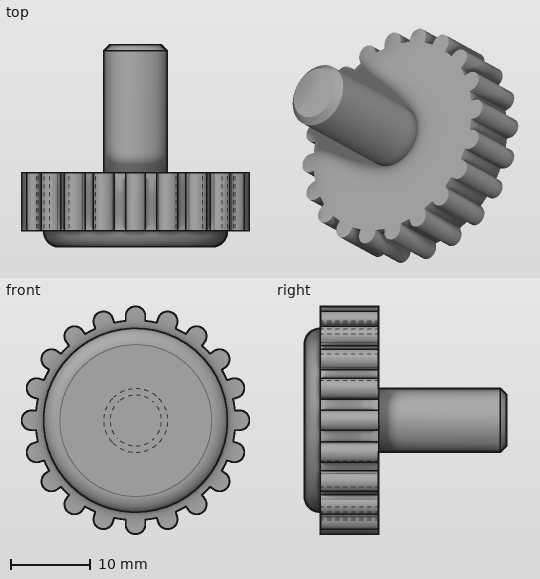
import cadquery as cq


tooth_count = 20
root_diameter = 25.0
tooth_width = 2.5
outer_diameter = 28.5
tip_center_radius = (outer_diameter - tooth_width) / 2
tooth_base_radius = root_diameter / 2 - tooth_width / 2
grip_thickness = 7.3

cap_diameter = 23.0
cap_height = 2.0

stud_diameter = 8.0
stud_length = 16.0
stud_chamfer = 0.8

grip_back_y = 0.0
grip_front_y = grip_back_y - grip_thickness
cap_front_y = grip_front_y - cap_height


def cylinder_along_y(diameter, start_y, length):
    """Cylinder on the Y axis running from start_y toward +Y."""
    axis = cq.Vector(0, 1, 0)
    start = cq.Vector(0, start_y, 0)
    return cq.Workplane(cq.Solid.makeCylinder(diameter / 2, length, start, axis))


def make_grip():
    """Disc with straight-sided, round-tipped teeth; the first tooth lies on the X axis."""
    grip = cylinder_along_y(root_diameter, grip_front_y, grip_thickness)
    tooth_half_width = tooth_width / 2
    tooth = (
        cq.Workplane("XZ", origin=(0, grip_back_y, 0))
        .moveTo(tooth_base_radius, -tooth_half_width)
        .lineTo(tip_center_radius, -tooth_half_width)
        .threePointArc((outer_diameter / 2, 0), (tip_center_radius, tooth_half_width))
        .lineTo(tooth_base_radius, tooth_half_width)
        .close()
        .extrude(grip_thickness)
    )
    for index in range(tooth_count):
        angle = index * 360 / tooth_count
        grip = grip.union(tooth.rotate((0, 0, 0), (0, 1, 0), angle))
    return grip


def make_cap():
    """Cap whose edge is a full quarter round, flat in the middle."""
    rim_radius = cap_diameter / 2
    flat_radius = rim_radius - cap_height
    bulge = cap_height / 2**0.5
    return (
        cq.Workplane("XY")
        .moveTo(0, grip_front_y)
        .lineTo(rim_radius, grip_front_y)
        .threePointArc((flat_radius + bulge, grip_front_y - bulge), (flat_radius, cap_front_y))
        .lineTo(0, cap_front_y)
        .close()
        .revolve(360, (0, 0, 0), (0, 1, 0))
    )


def make_stud():
    """Plain stud with a chamfered free end."""
    stud = cylinder_along_y(stud_diameter, grip_back_y, stud_length)
    return stud.faces(">Y").chamfer(stud_chamfer)


result = make_grip().union(make_cap()).union(make_stud())